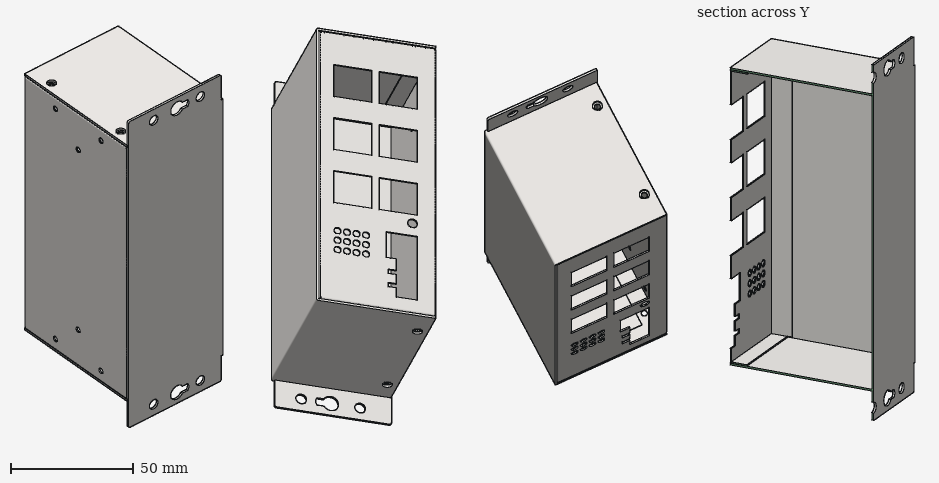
import cadquery as cq
depth = 66.0
width = 51.3
flange_height = 156.0
box_height = 130.5
bend_radius = 1.0
clearance = 0.3

cover_sheet = 1.0
flange_width = 49.9
flange_corner_radius = 1.0
roof_setback = 0.3
flange_hole_z = 72.4
flange_hole_diameter = 4.5
flange_hole_pitch = 25.1
keyhole_y = 26.0
keyhole_diameter = 6.7
keyhole_slot_width = 3.5
keyhole_slot_reach = 6.4
keyhole_end_diameter = 5.3
screw_x_positions = (12.0, 55.5)
screw_y = 4.7
screw_diameter = 2.5
screw_head_diameter = 4.0

chassis_sheet = 0.6
chassis_depth = depth - cover_sheet - clearance
chassis_width = width - cover_sheet - clearance
chassis_height = box_height - 2 * cover_sheet
far_tab_depth = 10.0
near_tab_depth = 7.8
front_sheet = (0, chassis_sheet)

side_hole_diameter = 2.5
side_hole_x = 34.2
side_hole_z = 45.9
corner_hole_spacing = 28.7
corner_hole_z = 58.7

opening_edge_y = 8.3
window_width = 16.2
window_height = 15.3
window_pitch_y = 19.3
window_pitch_z = 25.5
window_rows = 3
window_columns = 2
window_top_z = 49.0
light_hole_diameter = 4.0
light_hole_z = -21.4
vent_diameter = 3.0
vent_columns = 4
vent_rows = 3
vent_pitch_y = 4.0
vent_pitch_z = 4.5
vent_first_y = 30.1
vent_top_z = -30.4

connector_top_z = -27.3
connector_bottom_z = -57.9
connector_step_z = -39.6
connector_wide_y = 21.5
connector_narrow_y = 17.2
notch_reach_y = 20.6
notch_height = 2.0
notch_top_positions = (-45.1, -51.5)


def block(x_range, y_range, z_range):
    """Box spanning the given (low, high) ranges."""
    sizes = [high - low for low, high in (x_range, y_range, z_range)]
    return cq.Workplane("XY").box(*sizes, centered=False).translate((x_range[0], y_range[0], z_range[0]))


def rod_x(diameter, y, z, x_range):
    """Cylinder along X, used to cut round holes in the front and back sheets."""
    start, end = x_range
    return cq.Workplane("YZ", origin=(start, y, z)).circle(diameter / 2).extrude(end - start)


def make_cover():
    half = box_height / 2
    wall_top = half - cover_sheet
    back_inner = depth - cover_sheet

    cover = block((0, depth), (roof_setback, width), (-half, half))
    cover = cover.edges(">Y and (>Z or <Z or >X)").fillet(bend_radius)
    cover = cover.cut(block((0, back_inner), (0, width - cover_sheet), (-wall_top, wall_top)))

    half_flange = flange_height / 2
    plate = block((back_inner, depth), (0, flange_width), (-half_flange, half_flange))
    cover = cover.union(plate.edges("|X").fillet(flange_corner_radius))

    for side in (-1, 1):
        z = side * flange_hole_z
        for offset in (-flange_hole_pitch / 2, flange_hole_pitch / 2):
            cover = cover.cut(rod_x(flange_hole_diameter, keyhole_y + offset, z, (back_inner, depth)))
        cover = cover.cut(rod_x(keyhole_diameter, keyhole_y, z, (back_inner, depth)))
        half_slot = keyhole_slot_width / 2
        slot_y = (keyhole_y, keyhole_y + keyhole_slot_reach)
        slot = block((back_inner, depth), slot_y, (z - half_slot, z + half_slot))
        end_y = keyhole_y + keyhole_slot_reach - keyhole_end_diameter / 2
        rounded_end = rod_x(keyhole_end_diameter, end_y, z, (back_inner, depth))
        cover = cover.cut(slot.intersect(rounded_end))
    return cover.cut(screw_holes(screw_head_diameter))


def screw_holes(diameter):
    """Vertical cylinders through the roof, the floor and the tabs behind them."""
    points = [(x, screw_y) for x in screw_x_positions]
    return cq.Workplane("XY").pushPoints(points).circle(diameter / 2).extrude(box_height / 2, both=True)


def make_chassis():
    half = chassis_height / 2
    inner_top = half - chassis_sheet

    chassis = block((0, chassis_depth), (0, chassis_width), (-half, half))
    chassis = chassis.edges("<X or <Y").fillet(bend_radius)
    inside_x = (chassis_sheet, chassis_depth - chassis_sheet)
    inside_y = (chassis_sheet, chassis_width - chassis_sheet)
    inside = block(inside_x, inside_y, (-inner_top, inner_top))
    chassis = chassis.cut(inside)

    chassis = chassis.cut(block((far_tab_depth, depth), (near_tab_depth, width), (-half, half)))
    for z_range in ((-half, -inner_top), (inner_top, half)):
        chassis = chassis.cut(block((near_tab_depth, depth), (near_tab_depth, width), z_range))

    chassis = chassis.cut(side_holes()).cut(screw_holes(screw_diameter))
    return chassis.cut(windows()).cut(round_front_holes()).cut(connector_opening())


def side_holes():
    points = [(side_hole_x, z) for z in (-side_hole_z, side_hole_z)]
    for x in (side_hole_x - corner_hole_spacing / 2, side_hole_x + corner_hole_spacing / 2):
        points += [(x, -corner_hole_z), (x, corner_hole_z)]
    return cq.Workplane("XZ").pushPoints(points).circle(side_hole_diameter / 2).extrude(-chassis_sheet)


def windows():
    cutter = cq.Workplane("XY")
    for row in range(window_rows):
        top = window_top_z - row * window_pitch_z
        for column in range(window_columns):
            start = opening_edge_y + column * window_pitch_y
            cutter = cutter.add(block(front_sheet, (start, start + window_width), (top - window_height, top)))
    return cutter.combine()


def round_front_holes():
    light_hole_y = opening_edge_y + light_hole_diameter / 2
    cutter = rod_x(light_hole_diameter, light_hole_y, light_hole_z, front_sheet)
    for column in range(vent_columns):
        y = vent_first_y + column * vent_pitch_y
        for row in range(vent_rows):
            z = vent_top_z - row * vent_pitch_z
            cutter = cutter.union(rod_x(vent_diameter, y, z, front_sheet))
    return cutter


def connector_opening():
    wide = block(front_sheet, (opening_edge_y, connector_wide_y), (connector_step_z, connector_top_z))
    narrow = block(front_sheet, (opening_edge_y, connector_narrow_y), (connector_bottom_z, connector_top_z))
    cutter = wide.union(narrow)
    for top in notch_top_positions:
        cutter = cutter.union(block(front_sheet, (opening_edge_y, notch_reach_y), (top - notch_height, top)))
    return cutter


cover = make_cover()
chassis = make_chassis()

result = cq.Compound.makeCompound([cover.val(), chassis.val()])